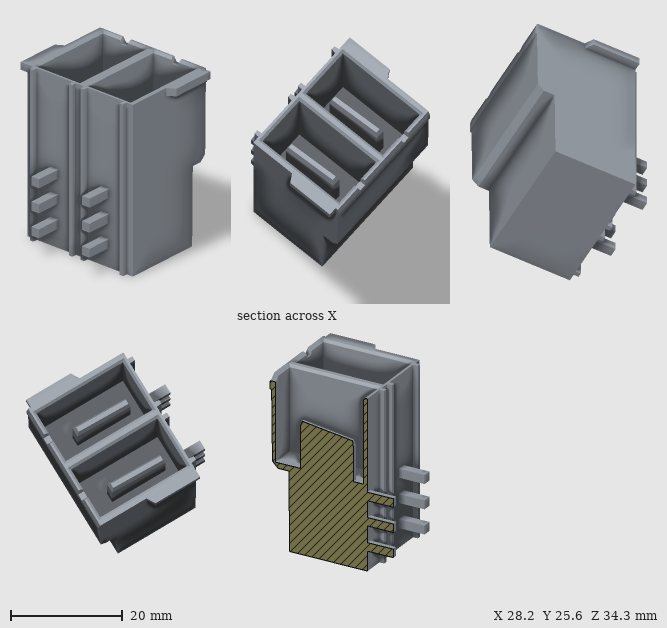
import cadquery as cq
import math

height = 34.3
overall_width = 28.2
body_width = 25.0
cell_pitch = 12.0
cell_centres = (-cell_pitch / 2, cell_pitch / 2)

base_depth = 16.25
rear_draft = 0.17
step_height = 15.95
overhang_depth = 19.82
overhang_chamfer = 1.25
lip_depth = 20.3
lip_top_depth = 19.92
lip_bottom = 31.35
lip_bevel_bottom = 32.85

cell_width = 10.2
cell_front = 0.95
cell_back = 19.05
cell_floor = 17.15
mouth_chamfer = 0.48

notch_bottom_width = 1.27
notch_top_width = 1.95
notch_depth = 1.2

tab_reach = (overall_width - body_width) / 2
tab_height = 1.55
tab_root_length = 10.3
tab_tip_length = 9.33
tab_mirror_depth = 19.4

rib_offset = 4.63
rib_projection = 1.0
plain_rib_width = 0.85
tapered_rib_root = 1.0
tapered_rib_tip = 0.72

terminal_width = 1.8
pin_length = 5.35
lowest_pin = 4.85
pin_pitch = 5.0
pin_count = 3
blade_front = 2.95
blade_back = 14.05
blade_shoulder = 24.7
blade_slope = 7.5
blade_tip_height = 1.25
blade_tip_width = 0.9
blade_tip_shortening = 0.7


def make_body():
    """Extrude the stepped side profile across the full body width."""
    chamfer_end = overhang_depth - overhang_chamfer
    profile = [
        (0, 0),
        (base_depth, 0),
        (base_depth + rear_draft, step_height),
        (chamfer_end, step_height),
        (overhang_depth, step_height + overhang_chamfer),
        (overhang_depth + rear_draft, lip_bottom),
        (lip_depth, lip_bottom),
        (lip_depth, lip_bevel_bottom),
        (lip_top_depth, height),
        (0, height),
    ]
    return cq.Workplane("YZ").polyline(profile).close().extrude(body_width / 2, both=True)


def make_cell(x):
    """Rectangular cavity with a flared mouth."""
    length = cell_back - cell_front
    middle = (cell_front + cell_back) / 2
    cavity = (
        cq.Workplane("XY", origin=(x, middle, cell_floor))
        .rect(cell_width, length)
        .extrude(height - cell_floor)
    )
    mouth = (
        cq.Workplane("XY", origin=(x, middle, height - mouth_chamfer))
        .rect(cell_width, length)
        .workplane(offset=mouth_chamfer)
        .rect(cell_width + 2 * mouth_chamfer, length + 2 * mouth_chamfer)
        .loft(ruled=True)
    )
    return cavity.union(mouth)


def make_notch(x):
    """Trapezoidal notch through the rear wall, from the cavity outward."""
    outline = [
        (x - notch_bottom_width / 2, height - notch_depth),
        (x + notch_bottom_width / 2, height - notch_depth),
        (x + notch_top_width / 2, height),
        (x - notch_top_width / 2, height),
    ]
    notch = cq.Workplane("XZ", origin=(0, lip_depth, 0)).polyline(outline).close()
    return notch.extrude(lip_depth - cell_back)


def make_left_tab():
    """Flat tab at the top of the left side, with one slanted end."""
    root = -body_width / 2
    outline = [
        (root, 0),
        (root - tab_reach, 0),
        (root - tab_reach, tab_tip_length),
        (root, tab_root_length),
    ]
    plane = cq.Workplane("XY", origin=(0, 0, height - tab_height))
    return plane.polyline(outline).close().extrude(tab_height)


def make_rib(x, root_width, tip_width):
    """Full-height rib on the front face."""
    outline = [
        (x - root_width / 2, 0),
        (x - tip_width / 2, -rib_projection),
        (x + tip_width / 2, -rib_projection),
        (x + root_width / 2, 0),
    ]
    return cq.Workplane("XY").polyline(outline).close().extrude(height)


def make_pin(x, z):
    """Square solder pin standing out of the front face."""
    pin = cq.Workplane("XZ", origin=(x, 0, z)).rect(terminal_width, terminal_width)
    return pin.extrude(pin_length)


def make_blade(x):
    """Contact blade rising from the cell floor, with a sloping tapered tip."""
    middle = (blade_front + blade_back) / 2
    slope = math.radians(blade_slope)
    rise = (blade_back - blade_front) / 2 * math.tan(slope)
    side = [
        (blade_front, cell_floor),
        (blade_back, cell_floor),
        (blade_back, blade_shoulder + rise),
        (blade_front, blade_shoulder - rise),
    ]
    shank = cq.Workplane("YZ", origin=(x, 0, 0)).polyline(side).close()
    shank = shank.extrude(terminal_width / 2, both=True)

    slope_length = (blade_back - blade_front) / math.cos(slope)
    tip = (
        cq.Workplane("XY", origin=(x, middle, blade_shoulder))
        .transformed(rotate=(blade_slope, 0, 0))
        .rect(terminal_width, slope_length)
        .workplane(offset=blade_tip_height)
        .rect(blade_tip_width, slope_length - blade_tip_shortening)
        .loft(ruled=True)
    )
    return shank.union(tip)


result = make_body()

left_tab = make_left_tab()
tab_pivot = tab_mirror_depth / 2
right_tab = left_tab.rotate((0, tab_pivot, 0), (0, tab_pivot, 1), 180)
result = result.union(left_tab).union(right_tab)

for centre in cell_centres:
    result = result.cut(make_cell(centre)).cut(make_notch(centre))
    result = result.union(make_rib(centre - rib_offset, tapered_rib_root, tapered_rib_tip))
    result = result.union(make_rib(centre + rib_offset, plain_rib_width, plain_rib_width))
    result = result.union(make_blade(centre))
    for level in range(pin_count):
        result = result.union(make_pin(centre, lowest_pin + level * pin_pitch))